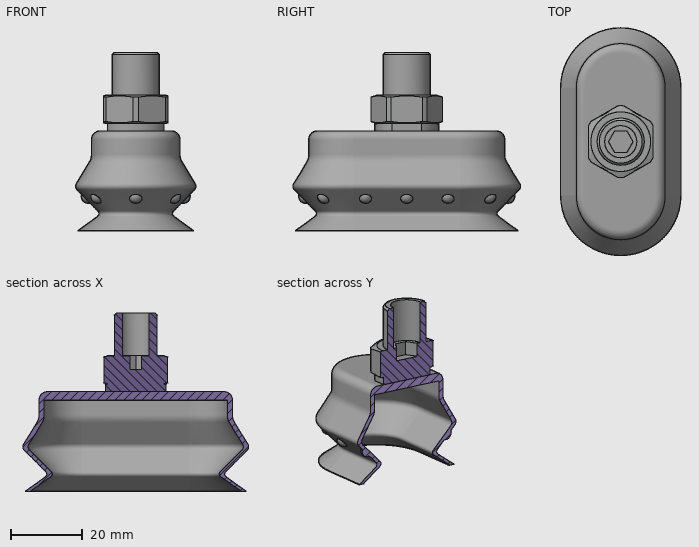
import cadquery as cq
import math

LENGTH = 63.7
WIDTH = 33.7
STRAIGHT_HALF = (LENGTH - WIDTH) / 2
CUP_TOP = 28.05
CAP_RADIUS = 12.4
CAP_EDGE_ROUND = 2.5
SHOULDER_Z = 20.25
SHOULDER_ROUND = 3.55
RIDGE_RADIUS = 17.2
RIDGE_Z = 12.35
RIDGE_ROUND = 1.35
WAIST_RADIUS = 9.8
WAIST_Z = 4.8
WAIST_ROUND = 0.9
LIP_RADIUS = 16.1
LIP_EDGE = 0.2
WALL = 1.6
ROOF = 2.55

DOME_RADIUS = 2.0
DOME_FOOT_RADIUS = 1.7
DOME_Z = 9.05
DOME_SIDE_PITCH = 11.5
DOME_END_ANGLE = 53.0

NECK_DIAMETER = 17.9
NECK_FLATS = 15.9
HEX_BOTTOM = 30.1
HEX_TOP = 38.05
HEX_FLATS = 18.15
HEX_CORNER_DIAMETER = 20.15
HEX_FACE_DIAMETER = 16.7
HEX_CHAMFER_HEIGHT = 0.6
BARREL_TOP = 50.0
BARREL_DIAMETER = 13.2
BARREL_TIP_DIAMETER = 12.0
BORE_DIAMETER = 9.0
SOCKET_FLATS = 6.0
SOCKET_DEPTH = 3.8


def hexagon_corner_diameter(flats):
    return flats / math.cos(math.radians(30))


def oval_solid(corners):
    """Sweep a half section, given as (radius, z, rounding), around the oval."""
    points = [cq.Vector(radius, 0, z) for radius, z, _ in corners]
    section = cq.Face.makeFromWires(cq.Wire.makePolygon(points, close=True))
    for point, (_, _, rounding) in zip(points, corners):
        if rounding > 0:
            vertex = min(section.Vertices(), key=lambda v: (v.Center() - point).Length)
            section = section.fillet2D(rounding, [vertex])

    axis_start, axis_end = cq.Vector(0, 0, 0), cq.Vector(0, 0, 1)
    round_end = cq.Workplane(cq.Solid.revolve(section, 180, axis_start, axis_end))
    start = section.translate(cq.Vector(0, -STRAIGHT_HALF, 0))
    side = cq.Workplane(cq.Solid.extrudeLinear(start, cq.Vector(0, 2 * STRAIGHT_HALF, 0)))
    back_end = round_end.translate((0, STRAIGHT_HALF, 0))
    return (
        side.union(side.mirror("YZ"))
        .union(back_end)
        .union(back_end.mirror("XZ"))
    )


def cup_envelope():
    return oval_solid([
        (0, 0, 0),
        (LIP_RADIUS, 0, 0),
        (LIP_RADIUS, LIP_EDGE, 0),
        (WAIST_RADIUS, WAIST_Z, WAIST_ROUND),
        (RIDGE_RADIUS, RIDGE_Z, RIDGE_ROUND),
        (CAP_RADIUS, SHOULDER_Z, SHOULDER_ROUND),
        (CAP_RADIUS, CUP_TOP, CAP_EDGE_ROUND),
        (0, CUP_TOP, 0),
    ])


def cup_cavity():
    """The same folds one wall further in, open at the bottom."""
    return oval_solid([
        (0, 0, 0),
        (LIP_RADIUS - WALL, 0, 0),
        (LIP_RADIUS - WALL, LIP_EDGE, 0),
        (WAIST_RADIUS - WALL, WAIST_Z, WAIST_ROUND),
        (RIDGE_RADIUS - WALL, RIDGE_Z, RIDGE_ROUND),
        (CAP_RADIUS - WALL, SHOULDER_Z, SHOULDER_ROUND),
        (CAP_RADIUS - WALL, CUP_TOP - ROOF, 0),
        (0, CUP_TOP - ROOF, 0),
    ])


def dome_ball(axis_y, heading):
    """A ball sunk into the lower flank so that only a shallow dome stands proud.

    The heading is the outward direction in degrees, seen from the point (0, axis_y).
    """
    rise = RIDGE_Z - WAIST_Z
    run = RIDGE_RADIUS - WAIST_RADIUS
    flank_angle = math.atan2(run, rise)
    flank_radius = WAIST_RADIUS + run * (DOME_Z - WAIST_Z) / rise
    out_x = math.cos(math.radians(heading))
    out_y = math.sin(math.radians(heading))

    foot = cq.Vector(flank_radius * out_x, axis_y + flank_radius * out_y, DOME_Z)
    outward = cq.Vector(out_x, out_y, 0) * math.cos(flank_angle) - cq.Vector(0, 0, math.sin(flank_angle))
    centre = foot - outward * math.sqrt(DOME_RADIUS**2 - DOME_FOOT_RADIUS**2)
    return cq.Workplane(cq.Plane(origin=centre, normal=outward)).sphere(DOME_RADIUS)


def make_cup():
    cup = cup_envelope()
    for side in (-1, 1):
        for step in (-1, 0, 1):
            side_heading = 90 - 90 * side
            end_heading = 90 * side + DOME_END_ANGLE * step
            cup = cup.union(dome_ball(step * DOME_SIDE_PITCH, side_heading))
            cup = cup.union(dome_ball(side * STRAIGHT_HALF, end_heading))
    return cup.cut(cup_cavity())


def neck():
    height = HEX_BOTTOM - CUP_TOP
    base = cq.Workplane("XY").workplane(offset=CUP_TOP)
    flats = base.rect(NECK_FLATS, NECK_DIAMETER).extrude(height)
    return base.circle(NECK_DIAMETER / 2).extrude(height).intersect(flats)


def hexagon():
    """Hexagon with corners on the Y axis, trimmed round and chamfered at both ends."""
    prism = (
        cq.Workplane("XY").workplane(offset=HEX_BOTTOM)
        .transformed(rotate=(0, 0, 90))
        .polygon(6, hexagon_corner_diameter(HEX_FLATS))
        .extrude(HEX_TOP - HEX_BOTTOM)
    )
    corner = HEX_CORNER_DIAMETER / 2
    face = HEX_FACE_DIAMETER / 2
    trim = (
        cq.Workplane("XZ")
        .moveTo(0, HEX_BOTTOM)
        .lineTo(face, HEX_BOTTOM)
        .lineTo(corner, HEX_BOTTOM + HEX_CHAMFER_HEIGHT)
        .lineTo(corner, HEX_TOP - HEX_CHAMFER_HEIGHT)
        .lineTo(face, HEX_TOP)
        .lineTo(0, HEX_TOP)
        .close()
        .revolve(360, (0, 0, 0), (0, 1, 0))
    )
    return prism.intersect(trim)


def barrel():
    chamfer = (BARREL_DIAMETER - BARREL_TIP_DIAMETER) / 2
    return (
        cq.Workplane("XY").workplane(offset=HEX_TOP)
        .circle(BARREL_DIAMETER / 2)
        .extrude(BARREL_TOP - HEX_TOP)
        .faces(">Z").chamfer(chamfer)
    )


def make_fitting():
    """Bore through the barrel, with a blind hexagon socket in the bore floor."""
    bore = (
        cq.Workplane("XY").workplane(offset=HEX_TOP)
        .circle(BORE_DIAMETER / 2)
        .extrude(BARREL_TOP - HEX_TOP)
    )
    socket = (
        cq.Workplane("XY").workplane(offset=HEX_TOP - SOCKET_DEPTH)
        .polygon(6, hexagon_corner_diameter(SOCKET_FLATS))
        .extrude(SOCKET_DEPTH)
    )
    return neck().union(hexagon()).union(barrel()).cut(bore).cut(socket)


cup = make_cup()
fitting = make_fitting()
result = cq.Compound.makeCompound([cup.solids().val(), fitting.solids().val()])